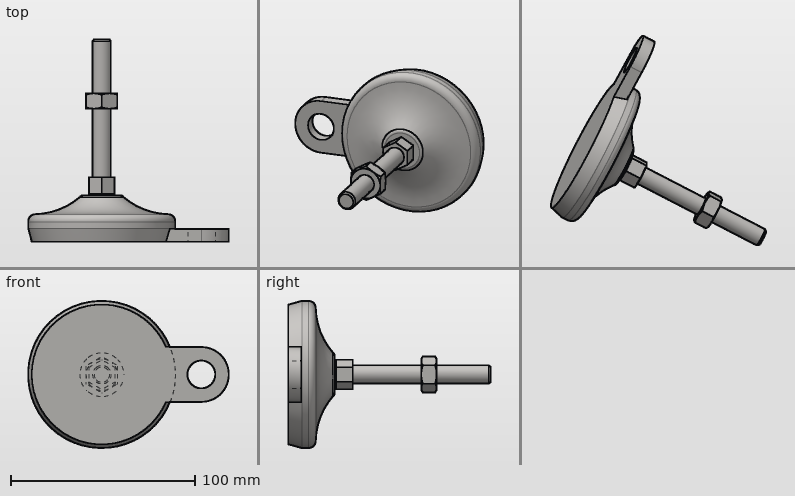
import cadquery as cq
import math


plate_radius = 80.0 / 2
sole_radius = 38.0
taper_height = 7.5
wall_top = 11.0
rim_round = 4.1
crown_radius = 10.1
crown_edge_radius = 11.9
crown_edge_drop = 1.0
plate_height = 25.3
flare_sag = 2.2

lug_radius = 15.0
lug_length = 109.0 - plate_radius - lug_radius
lug_thickness = 7.0
lug_hole_diameter = 15.0

stud_diameter = 10.0
stud_end = 110.0
stud_chamfer_length = 1.2
stud_chamfer_depth = 0.9

collar_flats = 14.0
collar_start = 26.1
collar_height = 9.0
nut_flats = 17.0
nut_start = 72.3
nut_height = 8.2
nut_chamfer_angle = 30


def hexagon(flats, start, height):
    """Hexagonal prism along Y, with two flats facing +X and -X."""
    corner_diameter = flats / math.cos(math.radians(30))
    prism = cq.Workplane("XY").polygon(6, corner_diameter).extrude(height)
    prism = prism.rotate((0, 0, 0), (0, 0, 1), 30)
    return prism.rotate((0, 0, 0), (1, 0, 0), -90).translate((0, start, 0))


def revolve_about_y(profile):
    return profile.close().revolve(360, (0, 0, 0), (0, 1, 0))


def make_plate():
    """Tapered sole, rounded rim and a concave flare up to a flat crown."""
    rim_inner = plate_radius - rim_round
    rim_top = wall_top + rim_round
    flare_top = plate_height - crown_edge_drop
    run = rim_inner - crown_edge_radius
    drop = flare_top - rim_top
    slope_length = math.hypot(run, drop)
    flare_middle = (
        (rim_inner + crown_edge_radius) / 2 - flare_sag * drop / slope_length,
        (rim_top + flare_top) / 2 - flare_sag * run / slope_length,
    )
    crown_edge_width = crown_edge_radius - crown_radius
    crown_arc_radius = (crown_edge_width**2 + crown_edge_drop**2) / (2 * crown_edge_drop)
    half_angle = math.asin(crown_edge_width / crown_arc_radius) / 2
    crown_middle = (
        crown_radius + crown_arc_radius * math.sin(half_angle),
        plate_height - crown_arc_radius * (1 - math.cos(half_angle)),
    )
    diagonal = rim_round * math.sqrt(0.5)
    rim_middle = (rim_inner + diagonal, wall_top + diagonal)
    return revolve_about_y(
        cq.Workplane("XY")
        .lineTo(sole_radius, 0)
        .lineTo(plate_radius, taper_height)
        .lineTo(plate_radius, wall_top)
        .threePointArc(rim_middle, (rim_inner, rim_top))
        .threePointArc(flare_middle, (crown_edge_radius, flare_top))
        .threePointArc(crown_middle, (crown_radius, plate_height))
        .lineTo(0, plate_height)
    )


def make_lug():
    """Round-ended tongue running from the plate axis toward +X."""
    lug = (
        cq.Workplane("XZ")
        .moveTo(0, -lug_radius)
        .lineTo(lug_length, -lug_radius)
        .threePointArc((lug_length + lug_radius, 0), (lug_length, lug_radius))
        .lineTo(0, lug_radius)
        .close()
        .extrude(-lug_thickness)
    )
    hole = (
        cq.Workplane("XZ")
        .center(lug_length, 0)
        .circle(lug_hole_diameter / 2)
        .extrude(-lug_thickness)
    )
    return lug.cut(hole)


def make_stud():
    """Plain round stud, chamfered at its free end and seated in the plate crown."""
    radius = stud_diameter / 2
    seat = wall_top
    return revolve_about_y(
        cq.Workplane("XY")
        .moveTo(0, seat)
        .lineTo(radius, seat)
        .lineTo(radius, stud_end - stud_chamfer_length)
        .lineTo(radius - stud_chamfer_depth, stud_end)
        .lineTo(0, stud_end)
    )


def make_nut():
    """Hexagon nut with its corners turned off conically on both faces."""
    corner_radius = nut_flats / 2 / math.cos(math.radians(30))
    face_radius = nut_flats / 2
    chamfer = (corner_radius - face_radius) * math.tan(math.radians(nut_chamfer_angle))
    nut_end = nut_start + nut_height
    envelope = revolve_about_y(
        cq.Workplane("XY")
        .moveTo(0, nut_start)
        .lineTo(face_radius, nut_start)
        .lineTo(corner_radius, nut_start + chamfer)
        .lineTo(corner_radius, nut_end - chamfer)
        .lineTo(face_radius, nut_end)
        .lineTo(0, nut_end)
    )
    return hexagon(nut_flats, nut_start, nut_height).intersect(envelope)


collar = hexagon(collar_flats, collar_start, collar_height)
result = make_plate().union(make_lug()).union(make_stud()).union(collar).union(make_nut())